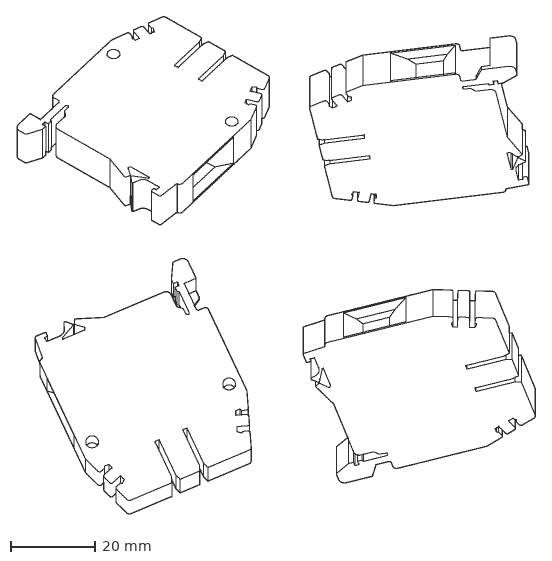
import cadquery as cq
import math

THICKNESS = 10.0
HALF_WIDTH = 21.0
TOP_Y = 44.5
SHOULDER_Y = 30.7
FLANK_ANGLE = math.radians(20)
TOP_CORNER_RADIUS = 0.9

NOTCH_DEPTH = 3.05
TOOTH_CENTRE = 7.35
TOOTH_HALF_WIDTH = 1.43
LOWER_NOTCH_WIDTH = 1.1
UPPER_NOTCH_WIDTH = 1.3
LIP_LENGTH = 1.7
UNDERCUT_START = 2.05
UNDERCUT_DEPTH = 0.38
TOOTH_RADIUS = 0.5

SLOT_X = 3.61
SLOT_WIDTH = 1.1
SLOT_DEPTH = 11.1
SLOT_MOUTH_WIDTH = 2.08
SLOT_MOUTH_DEPTH = 1.4

HOLE_X = 17.8
HOLE_Y = 27.4
HOLE_DIAMETER = 3.0
HOLE_DEPTH = 5.0

SIDE_BOTTOM_Y = 7.5
SIDE_RADIUS = 0.85
ARM_LEFT = -18.37
ARM_RIGHT = -16.46
ARM_ROOT_RADIUS = 0.5
FOOT_LEFT = -21.5
FOOT_BOTTOM = -6.0
FOOT_RADIUS = 1.5
TOE_X = -18.1
TOE_RADIUS = 0.5
HOOK_RIGHT = -16.0
HOOK_TOP_INNER_Y = 1.35
HOOK_TOP_OUTER_Y = 1.15
HOOK_SLOT_X = -17.05
HOOK_SLOT_HEIGHT = 1.0
HOOK_NOSE_Y = -2.2

BODY_BOTTOM_LEFT = -14.4
BODY_BOTTOM_RADIUS = 1.3
RELIEF_TOP_X = -15.7
RELIEF_TOP_LEFT_RADIUS = 0.4
RELIEF_TOP_RIGHT_RADIUS = 0.3
RELIEF_STEP_X = -15.5
RELIEF_STEP_TOP_Y = 5.6
RELIEF_STEP_BOTTOM_Y = 4.6
RELIEF_STEP_RADIUS = 0.3

LEDGE_THICKNESS = 1.0
LEDGE_OUTER_Y = 2.0
LEDGE_INNER_Y = 3.9

RIGHT_SIDE_BOTTOM_Y = 3.45
RIGHT_SIDE_RADIUS = 1.0
RIGHT_FOOT_TOP_X = 19.95
RIGHT_FOOT_TOP_RADIUS = 0.3
RIGHT_FOOT_HEEL_X = 19.45
RIGHT_FOOT_HEEL_RADIUS = 0.4
RIGHT_FOOT_BOTTOM = -2.25
CATCH_X = 16.6
CATCH_RADIUS = 0.3
CATCH_TOP_Y = -1.1
RIGHT_FOOT_INNER_X = 17.4

CLAW_ROOT_X = 12.7
CLAW_ROOT_RADIUS = 2.0
CLAW_TIP_RIGHT = (11.65, -2.75)
CLAW_TIP_LEFT = (11.3, -2.8)
CLAW_GAP_Y = -1.25
CLAW_GAP_CENTRE = 9.72
CLAW_GAP = 0.1
WINDOW_TOP = 1.04
WINDOW_RIGHT = 13.6
WINDOW_RIGHT_BOTTOM = 0.7
WINDOW_TOP_LEFT_X = 8.05
WINDOW_TOP_LEFT_RADIUS = 0.3
WINDOW_LEFT = (7.6, 0.5)
WINDOW_LEFT_RADIUS = 0.2
LIP_TIP = (9.0, -2.48)
LIP_TIP_RADIUS = 0.1
UNDERSIDE_BEND_X = 2.5

FUNNEL_DEPTH = 4.0
FUNNEL_TAPER_START = 2.7
MOUTH_Y = (8.4, 24.0)
MOUTH_Z = (0.5, 9.5)
FLOOR_Y = (11.95, 18.6)
FLOOR_Z = (2.65, 8.75)


def rounded_outline(corners):
    """Closed wire through (x, y, radius) corners; a radius of zero leaves the corner sharp."""
    edges = []
    joints = []
    for index, (x, y, radius) in enumerate(corners):
        corner = cq.Vector(x, y)
        if radius == 0:
            joints.append((corner, corner))
            continue
        before = cq.Vector(*corners[index - 1][:2])
        after = cq.Vector(*corners[(index + 1) % len(corners)][:2])
        to_before = (before - corner).normalized()
        to_after = (after - corner).normalized()
        half_angle = to_before.getAngle(to_after) / 2
        setback = radius / math.tan(half_angle)
        start = corner + to_before * setback
        end = corner + to_after * setback
        bisector = (to_before + to_after).normalized()
        middle = corner + bisector * (radius / math.sin(half_angle) - radius)
        edges.append(cq.Edge.makeThreePointArc(start, middle, end))
        joints.append((start, end))
    for index, (start, _) in enumerate(joints):
        edges.append(cq.Edge.makeLine(joints[index - 1][1], start))
    return cq.Wire.combine(edges)[0]


def extrude_outline(corners, height):
    outline = rounded_outline(corners)
    return cq.Workplane(cq.Solid.extrudeLinear(outline, [], cq.Vector(0, 0, height)))


def flank_corner(along, depth, radius):
    """Corner on the left flank, given its distance up the flank and its depth into the body."""
    x = -HALF_WIDTH + along * math.sin(FLANK_ANGLE) + depth * math.cos(FLANK_ANGLE)
    y = SHOULDER_Y + along * math.cos(FLANK_ANGLE) - depth * math.sin(FLANK_ANGLE)
    return (x, y, radius)


def notch_corners(side, width):
    """Corners of one marker notch from its outer lip to the tooth; side -1 is below the tooth, 1 above."""
    tooth = TOOTH_HALF_WIDTH
    lip = TOOTH_HALF_WIDTH + width
    profile = [
        (lip, 0, TOOTH_RADIUS),
        (lip, LIP_LENGTH, 0),
        (lip + UNDERCUT_DEPTH, UNDERCUT_START, 0),
        (lip, NOTCH_DEPTH, 0),
        (tooth, NOTCH_DEPTH, 0),
        (tooth, 0, TOOTH_RADIUS),
    ]
    return [flank_corner(TOOTH_CENTRE + side * offset, depth, radius) for offset, depth, radius in profile]


def left_flank():
    """Left flank from the shoulder up to the top edge."""
    top_corner_x = -HALF_WIDTH + (TOP_Y - SHOULDER_Y) * math.tan(FLANK_ANGLE)
    shoulder = [(-HALF_WIDTH, SHOULDER_Y, 0)]
    top = [(top_corner_x, TOP_Y, TOP_CORNER_RADIUS)]
    lower_notch = notch_corners(-1, LOWER_NOTCH_WIDTH)
    upper_notch = notch_corners(1, UPPER_NOTCH_WIDTH)
    return shoulder + lower_notch + upper_notch[::-1] + top


def mirrored(corners):
    return [(-x, y, radius) for x, y, radius in reversed(corners)]


def right_foot():
    """Right side from the side face down round the foot to the rail seat."""
    return [
        (HALF_WIDTH, RIGHT_SIDE_BOTTOM_Y, RIGHT_SIDE_RADIUS),
        (RIGHT_FOOT_TOP_X, RIGHT_SIDE_BOTTOM_Y, RIGHT_FOOT_TOP_RADIUS),
        (RIGHT_FOOT_HEEL_X, RIGHT_FOOT_BOTTOM, RIGHT_FOOT_HEEL_RADIUS),
        (CATCH_X, RIGHT_FOOT_BOTTOM, CATCH_RADIUS),
        (CATCH_X, CATCH_TOP_Y, 0),
        (RIGHT_FOOT_INNER_X, CATCH_TOP_Y, 0),
        (RIGHT_FOOT_INNER_X, 0, 0),
    ]


def spring_claw():
    """Claw, the window behind it and the lip facing it, from the rail seat on the right to the left."""
    return [
        (CLAW_ROOT_X, 0, CLAW_ROOT_RADIUS),
        (*CLAW_TIP_RIGHT, 0),
        (*CLAW_TIP_LEFT, 0),
        (CLAW_GAP_CENTRE + CLAW_GAP / 2, CLAW_GAP_Y, 0),
        (WINDOW_RIGHT, WINDOW_RIGHT_BOTTOM, 0),
        (WINDOW_RIGHT, WINDOW_TOP, 0),
        (WINDOW_TOP_LEFT_X, WINDOW_TOP, WINDOW_TOP_LEFT_RADIUS),
        (*WINDOW_LEFT, WINDOW_LEFT_RADIUS),
        (CLAW_GAP_CENTRE - CLAW_GAP / 2, CLAW_GAP_Y, 0),
        (*LIP_TIP, LIP_TIP_RADIUS),
        (UNDERSIDE_BEND_X, 0, 0),
    ]


def left_foot():
    """Left underside from the rail seat round the arm and hook to the side face."""
    return [
        (BODY_BOTTOM_LEFT, 0, BODY_BOTTOM_RADIUS),
        (BODY_BOTTOM_LEFT, RELIEF_STEP_BOTTOM_Y, RELIEF_STEP_RADIUS),
        (RELIEF_STEP_X, RELIEF_STEP_TOP_Y, RELIEF_STEP_RADIUS),
        (RELIEF_TOP_X, SIDE_BOTTOM_Y, RELIEF_TOP_RIGHT_RADIUS),
        (ARM_RIGHT, SIDE_BOTTOM_Y, RELIEF_TOP_LEFT_RADIUS),
        (ARM_RIGHT, HOOK_TOP_INNER_Y, 0),
        (HOOK_RIGHT, HOOK_TOP_OUTER_Y, 0),
        (HOOK_RIGHT, 0, 0),
        (HOOK_SLOT_X, 0, 0),
        (HOOK_SLOT_X, -HOOK_SLOT_HEIGHT, 0),
        (HOOK_RIGHT, -HOOK_SLOT_HEIGHT, 0),
        (HOOK_RIGHT, HOOK_NOSE_Y, 0),
        (TOE_X, FOOT_BOTTOM, TOE_RADIUS),
        (FOOT_LEFT, FOOT_BOTTOM, FOOT_RADIUS),
        (FOOT_LEFT, 0, 0),
        (ARM_LEFT, 0, 0),
        (ARM_LEFT, SIDE_BOTTOM_Y, ARM_ROOT_RADIUS),
        (-HALF_WIDTH, SIDE_BOTTOM_Y, SIDE_RADIUS),
    ]


def make_body():
    flank = left_flank()
    outline = flank + mirrored(flank) + right_foot() + spring_claw() + left_foot()
    return extrude_outline(outline, THICKNESS)


def make_ledge():
    corners = [
        (FOOT_LEFT, 0, 0),
        (ARM_LEFT, 0, 0),
        (ARM_LEFT, LEDGE_INNER_Y, 0),
        (FOOT_LEFT, LEDGE_OUTER_Y, 0),
    ]
    return extrude_outline(corners, LEDGE_THICKNESS)


def make_slot(centre_x):
    """Cutter for a parallel slot with a flared mouth at the top edge."""
    half = SLOT_WIDTH / 2
    half_mouth = SLOT_MOUTH_WIDTH / 2
    left_side = [
        (-half, TOP_Y - SLOT_DEPTH),
        (-half, TOP_Y - SLOT_MOUTH_DEPTH),
        (-half_mouth, TOP_Y),
    ]
    right_side = [(-x, y) for x, y in reversed(left_side)]
    profile = [(centre_x + x, y) for x, y in left_side + right_side]
    return cq.Workplane("XY").polyline(profile).close().extrude(THICKNESS)


def make_hole(centre_x):
    floor = cq.Workplane("XY", origin=(centre_x, HOLE_Y, THICKNESS - HOLE_DEPTH))
    return floor.circle(HOLE_DIAMETER / 2).extrude(HOLE_DEPTH)


def make_funnel():
    """Cutter for the left wire funnel: Y walls taper all the way, Z walls only near the floor."""
    mouth_x = -HALF_WIDTH
    taper_x = mouth_x + FUNNEL_TAPER_START
    floor_x = mouth_x + FUNNEL_DEPTH
    plan = [
        (mouth_x, MOUTH_Y[0]),
        (floor_x, FLOOR_Y[0]),
        (floor_x, FLOOR_Y[1]),
        (mouth_x, MOUTH_Y[1]),
    ]
    side = [
        (mouth_x, MOUTH_Z[0]),
        (taper_x, MOUTH_Z[0]),
        (floor_x, FLOOR_Z[0]),
        (floor_x, FLOOR_Z[1]),
        (taper_x, MOUTH_Z[1]),
        (mouth_x, MOUTH_Z[1]),
    ]
    plan_prism = cq.Workplane("XY").polyline(plan).close().extrude(THICKNESS)
    side_prism = cq.Workplane("XZ").polyline(side).close().extrude(-TOP_Y)
    return plan_prism.intersect(side_prism)


result = make_body().union(make_ledge())
for side in (-1, 1):
    result = result.cut(make_slot(side * SLOT_X))
    result = result.cut(make_hole(side * HOLE_X))
funnel = make_funnel()
result = result.cut(funnel).cut(funnel.mirror("YZ"))